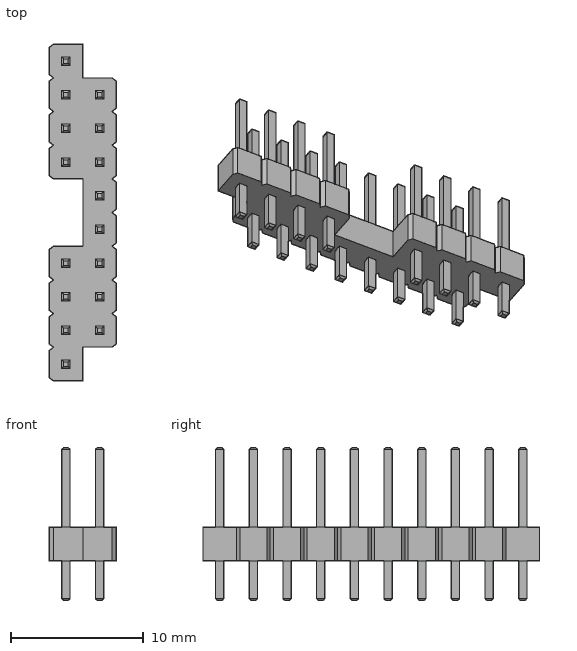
import cadquery as cq

pitch = 2.54
row_count = 10
left_rows = [0, 1, 2, 3, 6, 7, 8, 9]
right_rows = [1, 2, 3, 4, 5, 6, 7, 8]
left_side = -1
right_side = 1

body_height = 2.54
corner_cut_x = 0.32
corner_cut_y = 0.25

pin_width = 0.64
pin_below_body = 3.0
pin_above_body = 6.0
pin_tip_chamfer = 0.15
pin_length = pin_below_body + body_height + pin_above_body


def row_y(row):
    """Y of the centre of a row; rows count upward along +Y."""
    return (row - (row_count - 1) / 2) * pitch


def body_cell(side, row):
    """One pitch-sized block whose two outward corners are cut off."""
    outer_x = side * pitch
    cut_x = side * (pitch - corner_cut_x)
    y_low = row_y(row) - pitch / 2
    y_high = row_y(row) + pitch / 2
    outline = [
        (0, y_low),
        (cut_x, y_low),
        (outer_x, y_low + corner_cut_y),
        (outer_x, y_high - corner_cut_y),
        (cut_x, y_high),
        (0, y_high),
    ]
    return cq.Workplane("XY").polyline(outline).close().extrude(body_height)


def pin(side, row):
    """Square pin through the centre of a cell, chamfered at both tips."""
    return (
        cq.Workplane("XY")
        .box(pin_width, pin_width, pin_length, centered=(True, True, False))
        .faces("<Z or >Z")
        .chamfer(pin_tip_chamfer)
        .translate((side * pitch / 2, row_y(row), -pin_below_body))
    )


positions = [(left_side, row) for row in left_rows]
positions += [(right_side, row) for row in right_rows]

body = cq.Workplane("XY")
for side, row in positions:
    body = body.union(body_cell(side, row))
body = body.clean()

result = body
for side, row in positions:
    result = result.union(pin(side, row))